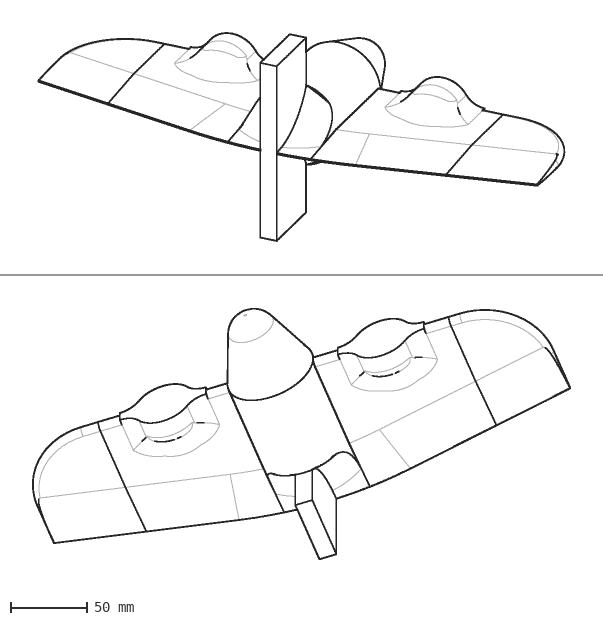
import cadquery as cq
import math


HALF_SPAN = 180.0
WING_THICKNESS = 8.0
TIP_RADIUS = 48.0
TIP_TRAILING_Y = -80.0
TRAILING_Y = -110.0
TRAILING_RADIUS = 302.5
TRAILING_THICKNESS = 1.0
BEVEL_WIDTH = 39.5
TIP_JOINTS_X = (-124.5, 120.0)

FUSELAGE_RADIUS = 30.0
FUSELAGE_END_Y = -64.0
NOSE_LENGTH = 48.0
NOSE_END_RADIUS = 12.0
NOSE_ROUNDING = 16.0
FIN_THICKNESS = 12.0
FIN_HEIGHT = 128.0

FAIRING_RADIUS = 50.5
FAIRING_SWEEP_RADIUS = 82.0
FAIRING_BOTTOM_Z = 0.7
FAIRING_END_Y = -105.0

NACELLES_X = (-77.0, 75.0)
NACELLE_RADIUS = 20.0
NACELLE_LENGTH = 20.0
NACELLE_ROUNDING = 8.0
NACELLE_SIDE_FILLET = 16.0
NACELLE_END_FILLET = 24.0

MARGIN = 18.0
CUTTER_DEPTH = 72.0

half_wing = WING_THICKNESS / 2
fuselage_length = -FUSELAGE_END_Y
fin_length = FUSELAGE_END_Y - TRAILING_Y

trailing_centre_y = TRAILING_Y + TRAILING_RADIUS
corner_distance = math.hypot(HALF_SPAN, trailing_centre_y - TIP_TRAILING_Y)
corner_angle = math.atan2(HALF_SPAN, trailing_centre_y - TIP_TRAILING_Y)
sweep_angle = corner_angle - math.acos(TRAILING_RADIUS / corner_distance)
arc_end_x = TRAILING_RADIUS * math.sin(sweep_angle)
arc_end_y = trailing_centre_y - TRAILING_RADIUS * math.cos(sweep_angle)


def slab(x_start, x_end):
    """A tall block that covers the part between two places along the span."""
    depth = 4 * HALF_SPAN
    return cq.Workplane("XY").box(abs(x_end - x_start), depth, depth).translate(((x_start + x_end) / 2, 0, 0))


def wing_core():
    """The flat wing, short of its rounded rim by half the wing thickness."""
    side = HALF_SPAN - half_wing
    arc_start_x = HALF_SPAN - TIP_RADIUS
    arc_middle = (TIP_RADIUS - half_wing) * math.sqrt(0.5)
    return (
        cq.Workplane("XY", origin=(0, 0, -half_wing))
        .moveTo(-arc_start_x, -half_wing)
        .lineTo(arc_start_x, -half_wing)
        .threePointArc((arc_start_x + arc_middle, arc_middle - TIP_RADIUS), (side, -TIP_RADIUS))
        .lineTo(side, TRAILING_Y)
        .lineTo(-side, TRAILING_Y)
        .lineTo(-side, -TIP_RADIUS)
        .threePointArc((-arc_start_x - arc_middle, arc_middle - TIP_RADIUS), (-arc_start_x, -half_wing))
        .close()
        .extrude(WING_THICKNESS)
    )


def wing_rim():
    """The half-round rim along the leading edge, the front corners and the tip sides."""
    side = HALF_SPAN - half_wing
    arc_start_x = HALF_SPAN - TIP_RADIUS
    rim = cq.Workplane("YZ", origin=(-arc_start_x, -half_wing, 0)).circle(half_wing).extrude(2 * arc_start_x)
    for direction in (1, -1):
        corner = (
            cq.Workplane("YZ", origin=(direction * arc_start_x, -half_wing, 0))
            .circle(half_wing)
            .revolve(90, (half_wing - TIP_RADIUS, 0), (half_wing - TIP_RADIUS, -direction))
        )
        tip_side = (
            cq.Workplane("XZ", origin=(direction * side, -TIP_RADIUS, 0))
            .circle(half_wing)
            .extrude(-TIP_RADIUS - TRAILING_Y)
        )
        rim = rim.union(corner).union(tip_side)
    return rim


def trailing_cutter():
    """Everything to remove above the bevel and behind the trailing edge, for the upper side."""
    half_edge = TRAILING_THICKNESS / 2
    slope = (half_wing - half_edge) / BEVEL_WIDTH

    rearward = (math.sin(sweep_angle), -math.cos(sweep_angle), 0)
    inboard = (-math.cos(sweep_angle), -math.sin(sweep_angle), 0)
    section_plane = cq.Plane((arc_end_x, arc_end_y, 0), rearward, inboard)
    outline = [
        (-BEVEL_WIDTH - MARGIN, half_wing + slope * MARGIN),
        (0, half_edge),
        (0, -half_wing - MARGIN),
        (CUTTER_DEPTH, -half_wing - MARGIN),
        (CUTTER_DEPTH, half_wing + MARGIN),
        (-BEVEL_WIDTH - MARGIN, half_wing + MARGIN),
    ]

    right = cq.Workplane(section_plane).polyline(outline).close().extrude(-HALF_SPAN)
    arc_degrees = 2 * math.degrees(sweep_angle)
    middle = (
        cq.Workplane(section_plane)
        .polyline(outline)
        .close()
        .revolve(arc_degrees, (-TRAILING_RADIUS, 0), (-TRAILING_RADIUS, -1))
    )
    return right.union(right.mirror("YZ")).union(middle)


def full_wing():
    cutter = trailing_cutter()
    return wing_core().union(wing_rim()).cut(cutter).cut(cutter.mirror("XY"))


def nacelle_section(length):
    """Straight nacelle whose round sides blend into the wing faces, running back from Y = 0."""
    fillet_centre_z = half_wing + NACELLE_SIDE_FILLET
    reach = NACELLE_RADIUS + NACELLE_SIDE_FILLET
    foot_x = math.sqrt(reach**2 - fillet_centre_z**2)
    touch_x = foot_x * NACELLE_RADIUS / reach
    touch_z = fillet_centre_z * NACELLE_RADIUS / reach
    angle = (math.atan2(fillet_centre_z, foot_x) + math.pi / 2) / 2
    middle_x = foot_x - NACELLE_SIDE_FILLET * math.cos(angle)
    middle_z = fillet_centre_z - NACELLE_SIDE_FILLET * math.sin(angle)
    return (
        cq.Workplane("XZ")
        .moveTo(-foot_x, -half_wing)
        .lineTo(-foot_x, half_wing)
        .threePointArc((-middle_x, middle_z), (-touch_x, touch_z))
        .threePointArc((0, NACELLE_RADIUS), (touch_x, touch_z))
        .threePointArc((middle_x, middle_z), (foot_x, half_wing))
        .lineTo(foot_x, -half_wing)
        .threePointArc((middle_x, -middle_z), (touch_x, -touch_z))
        .threePointArc((0, -NACELLE_RADIUS), (-touch_x, -touch_z))
        .threePointArc((-middle_x, -middle_z), (-foot_x, -half_wing))
        .close()
        .extrude(length)
    )


def nacelle():
    """Nacelle centred on X = 0, with its rounded rear end blended into the wing faces."""
    plate_width = 8 * NACELLE_RADIUS
    plate_depth = 4 * NACELLE_RADIUS
    pod = (
        cq.Workplane("XZ", origin=(0, MARGIN, 0))
        .circle(NACELLE_RADIUS)
        .extrude(NACELLE_LENGTH + MARGIN)
        .faces("<Y").edges().fillet(NACELLE_ROUNDING)
    )
    plate = (
        cq.Workplane("XZ", origin=(0, MARGIN, 0))
        .rect(plate_width, WING_THICKNESS)
        .extrude(plate_depth)
    )
    pod_joint = cq.selectors.BoxSelector(
        (-NACELLE_RADIUS, -NACELLE_LENGTH - MARGIN, -WING_THICKNESS),
        (NACELLE_RADIUS, MARGIN / 2, WING_THICKNESS),
    )
    blended = plate.union(pod).edges(pod_joint).fillet(NACELLE_END_FILLET)
    return blended.intersect(nacelle_section(NACELLE_LENGTH + NACELLE_END_FILLET))


def build_fuselage(wing):
    body = cq.Workplane("XZ").circle(FUSELAGE_RADIUS).extrude(fuselage_length)
    tail = cq.Workplane("XZ", origin=(0, FUSELAGE_END_Y, 0)).circle(FUSELAGE_RADIUS).extrude(
        FUSELAGE_END_Y - FAIRING_END_Y)
    hollow_z = FAIRING_BOTTOM_Z + FAIRING_RADIUS
    drop = hollow_z - FUSELAGE_RADIUS
    foot_y = FUSELAGE_END_Y - math.sqrt(FAIRING_RADIUS**2 - drop**2)
    axis_y = foot_y + FAIRING_SWEEP_RADIUS
    for z in (hollow_z, -hollow_z):
        hollow = cq.Solid.makeTorus(FAIRING_SWEEP_RADIUS, FAIRING_RADIUS, (0, axis_y, z), (0, 0, 1))
        tail = tail.cut(cq.Workplane(hollow))
    centre = wing.intersect(slab(-FUSELAGE_RADIUS, FUSELAGE_RADIUS))
    return body.union(tail).union(centre)


def build_fin():
    return (
        cq.Workplane("XY")
        .box(FIN_THICKNESS, fin_length, FIN_HEIGHT)
        .translate((0, (FUSELAGE_END_Y + TRAILING_Y) / 2, 0))
    )


def build_nose():
    return (
        cq.Workplane("XY")
        .polyline([(0, 0), (FUSELAGE_RADIUS, 0), (NOSE_END_RADIUS, NOSE_LENGTH), (0, NOSE_LENGTH)])
        .close()
        .revolve(360, (0, 0), (0, 1))
        .faces(">Y").edges().fillet(NOSE_ROUNDING)
    )


def build_inner_panel(wing, root_x, joint_x, nacelle_x):
    return wing.intersect(slab(root_x, joint_x)).union(nacelle().translate((nacelle_x, 0, 0)))


def build_tip(wing, joint_x, outside_x):
    return wing.intersect(slab(joint_x, outside_x))


wing = full_wing()
fin = build_fin()
fuselage = build_fuselage(wing).cut(fin)
nose = build_nose()

inner_panels = []
tips = []
for side, joint_x, nacelle_x in zip((-1, 1), TIP_JOINTS_X, NACELLES_X):
    inner_panels.append(build_inner_panel(wing, side * FUSELAGE_RADIUS, joint_x, nacelle_x))
    tips.append(build_tip(wing, joint_x, side * (HALF_SPAN + MARGIN)))

result = cq.Compound.makeCompound([
    fuselage.val(),
    nose.val(),
    fin.val(),
    *[panel.val() for panel in inner_panels],
    *[tip.val() for tip in tips],
])